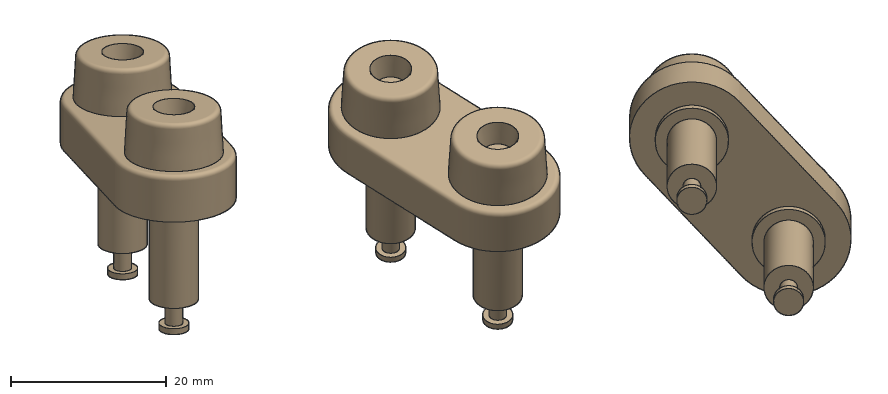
import cadquery as cq

post_spacing = 19.05
plate_width = 16.0
plate_thickness = 6.35
edge_fillet = 0.635

boss_height = 6.35
boss_base_diameter = 12.7
boss_top_diameter = 12.0

socket_mouth_diameter = 5.35
socket_floor_diameter = 4.15
socket_depth = 3.15

collar_diameter = 9.4
collar_length = 0.9
stem_diameter = 6.35
stem_length = 13.2
neck_diameter = 2.3
neck_length = 3.35
head_diameter = 3.87
head_length = 0.84

plate_top = plate_thickness
boss_top = plate_top + boss_height
post_centers = [(-post_spacing / 2, 0), (post_spacing / 2, 0)]


def make_plate():
    """Stadium plate standing on z = 0 with a rounded top rim."""
    outline = cq.Workplane("XY").slot2D(post_spacing + plate_width, plate_width)
    return outline.extrude(plate_thickness).faces(">Z").edges().fillet(edge_fillet)


def make_cone(bottom_diameter, top_diameter, bottom_z, height):
    """Upright frustum centred on the Z axis."""
    solid = cq.Solid.makeCone(
        bottom_diameter / 2,
        top_diameter / 2,
        height,
        pnt=cq.Vector(0, 0, bottom_z),
    )
    return cq.Workplane(solid)


def make_boss():
    """Tapered boss with a rounded top rim."""
    boss = make_cone(boss_base_diameter, boss_top_diameter, plate_top, boss_height)
    return boss.faces(">Z").edges().fillet(edge_fillet)


def make_socket():
    """Tapered cavity that narrows from the boss top down to a flat floor."""
    floor_z = boss_top - socket_depth
    return make_cone(socket_floor_diameter, socket_mouth_diameter, floor_z, socket_depth)


def make_terminal():
    """Collar, stem, neck and head stacked downward from the plate underside."""
    steps = [
        (collar_diameter, collar_length),
        (stem_diameter, stem_length),
        (neck_diameter, neck_length),
        (head_diameter, head_length),
    ]
    terminal = cq.Workplane("XY")
    step_top = 0
    for diameter, length in steps:
        step = cq.Workplane("XY", origin=(0, 0, step_top)).circle(diameter / 2).extrude(-length)
        terminal = terminal.union(step)
        step_top -= length
    return terminal


post = make_boss().union(make_terminal())
socket = make_socket()

result = make_plate()
for x, y in post_centers:
    result = result.union(post.translate((x, y, 0)))
for x, y in post_centers:
    result = result.cut(socket.translate((x, y, 0)))